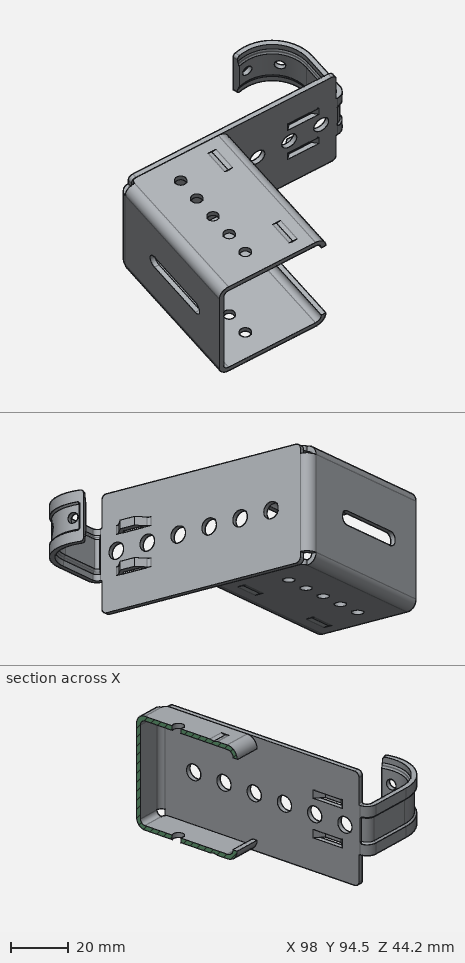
import cadquery as cq
import math


mid_arc = math.sqrt(0.5)

thickness = 2.0
bend_inner = 2.0
bend_outer = bend_inner + thickness
overall_x = 98.0
overall_y = 94.5
height = 44.2
half_height = height / 2
corner_radius = 2.0

plate_hole_diameter = 6.3
plate_hole_count = 6
plate_hole_first_y = 16.7
plate_hole_pitch = 13.4

bridge_center_y = 76.2
bridge_base_length = 13.4
bridge_top_length = 6.3
bridge_rise = 3.6
bridge_opening_base = 13.1
bridge_opening_top = 7.1
bridge_opening_rise = 1.1
bridge_width = 3.2
bridge_center_z = 7.6
bridge_root_fillet = 2.0

hook_width = 19.1
hook_radius = 17.1
hook_reach = 36.0
hook_tip_angle = 19.0
hook_tip_rounding = 1.2
neck_fillet = 0.5
hook_center_x = hook_radius - hook_reach
hook_center_y = overall_y - hook_radius
fold_center_x = thickness - bend_outer
fold_center_y = overall_y - bend_outer
plate_end_y = fold_center_y - neck_fillet
hook_hole_diameter = 4.0
hook_hole_angles = (45.0, -3.5)

emboss_depth = 0.8
channel_end_angle = 14.5
channel_half_mouth = 5.3
channel_rim_slope = 0.7
ridge_half_crest = 5.5
ridge_half_base = 7.3

arm_end_x = overall_x - hook_reach
arm_depth = 44.9
arm_gap = 0.1
flange_corner_radius = 1.8
lip_radius = 4.4
arm_hole_diameter = 4.3
arm_hole_count = 5
arm_hole_pitch = 10.0
arm_feature_center_x = 31.9
arm_hole_y = 17.8
slot_center_x = 34.6
slot_length = 30.6
slot_width = 5.3
groove_length = 10.3
groove_width = 3.3
groove_depth = 0.4
groove_spacing = 39.9
groove_y = 34.5


def on_hook_arc(radius, angle):
    """Point on a circle about the hook centre; the angle rises from the -X direction."""
    turn = math.radians(angle)
    return (hook_center_x - radius * math.cos(turn), hook_center_y + radius * math.sin(turn))


def hook_band(outer_offset, inner_offset, tip_angle):
    """Outline between two inward offsets of the hook's outer face, from the fold to the tip."""
    outer_fold = bend_outer - outer_offset
    inner_fold = bend_outer - inner_offset
    outer_arc = hook_radius - outer_offset
    inner_arc = hook_radius - inner_offset
    return (
        cq.Workplane("XY")
        .moveTo(fold_center_x + outer_fold, fold_center_y)
        .threePointArc(
            (fold_center_x + outer_fold * mid_arc, fold_center_y + outer_fold * mid_arc),
            (fold_center_x, fold_center_y + outer_fold),
        )
        .lineTo(hook_center_x, hook_center_y + outer_arc)
        .threePointArc(on_hook_arc(outer_arc, 45), on_hook_arc(outer_arc, -tip_angle))
        .lineTo(*on_hook_arc(inner_arc, -tip_angle))
        .threePointArc(on_hook_arc(inner_arc, 45), (hook_center_x, hook_center_y + inner_arc))
        .lineTo(fold_center_x, fold_center_y + inner_fold)
        .threePointArc(
            (fold_center_x + inner_fold * mid_arc, fold_center_y + inner_fold * mid_arc),
            (fold_center_x + inner_fold, fold_center_y),
        )
        .close()
    )


def make_channel():
    """Cutter for the pocket along the hook's outer face, with a sloped rim around its floor."""
    outline = hook_band(-thickness, emboss_depth, channel_end_angle)
    cutter = outline.extrude(channel_half_mouth, both=True)
    return cutter.faces("|Z or <Y").edges().chamfer(channel_rim_slope)


def make_ridge():
    """Raised rib along the hook's inner face; each flank is an S of two equal arcs."""
    inner_fold = bend_outer - thickness
    inner_arc = hook_radius - thickness
    path = (
        cq.Workplane("XY")
        .moveTo(fold_center_x + inner_fold, fold_center_y)
        .threePointArc(
            (fold_center_x + inner_fold * mid_arc, fold_center_y + inner_fold * mid_arc),
            (fold_center_x, fold_center_y + inner_fold),
        )
        .lineTo(hook_center_x, hook_center_y + inner_arc)
        .threePointArc(on_hook_arc(inner_arc, 45), on_hook_arc(inner_arc, -hook_tip_angle))
    )
    rise = emboss_depth / 2
    run = (ridge_half_base - ridge_half_crest) / 2
    flank_sagitta = math.hypot(rise, run) / 2 * math.tan(math.atan2(rise, run) / 2)
    flank_middle = (ridge_half_crest + ridge_half_base) / 2
    root = thickness / 4
    section = (
        cq.Workplane("XZ", origin=(0, fold_center_y, 0))
        .moveTo(root, -ridge_half_base)
        .lineTo(0, -ridge_half_base)
        .sagittaArc((-emboss_depth / 2, -flank_middle), flank_sagitta)
        .sagittaArc((-emboss_depth, -ridge_half_crest), -flank_sagitta)
        .lineTo(-emboss_depth, ridge_half_crest)
        .sagittaArc((-emboss_depth / 2, flank_middle), -flank_sagitta)
        .sagittaArc((0, ridge_half_base), flank_sagitta)
        .lineTo(root, ridge_half_base)
        .close()
    )
    return section.sweep(path)


def make_plate():
    """Flat plate with rounded corners, two pressed bridges and a row of holes."""
    length = plate_end_y - bend_outer
    plate = (
        cq.Workplane("XY")
        .box(thickness, length, height, centered=(False, False, True))
        .edges("|X")
        .fillet(corner_radius)
        .translate((0, bend_outer, 0))
    )
    for side in (1, -1):
        plate = plate.union(make_bridge_prism(
            bridge_base_length, bridge_top_length, 0, bridge_rise, side))
    reach = cq.Vector(thickness / 2, bridge_base_length, half_height)
    middle = cq.Vector(0, bridge_center_y, 0)
    near_roots = cq.selectors.BoxSelector((middle - reach).toTuple(), (middle + reach).toTuple())
    plate = plate.edges(near_roots).edges("|Z").fillet(bridge_root_fillet)
    for side in (1, -1):
        plate = plate.cut(make_bridge_prism(
            bridge_opening_base, bridge_opening_top, thickness, bridge_opening_rise, side))
    hole_centers = [
        (plate_hole_first_y + i * plate_hole_pitch, 0) for i in range(plate_hole_count)
    ]
    holes = (
        cq.Workplane("YZ")
        .pushPoints(hole_centers)
        .circle(plate_hole_diameter / 2)
        .extrude(thickness)
    )
    return plate.cut(holes)


def make_bridge_prism(base_length, top_length, base_x, rise, side):
    """Trapezoidal prism from the plane X = base_x out to X = -rise."""
    return (
        cq.Workplane("XY")
        .polyline([
            (base_x, bridge_center_y - base_length / 2),
            (base_x, bridge_center_y + base_length / 2),
            (-rise, bridge_center_y + top_length / 2),
            (-rise, bridge_center_y - top_length / 2),
        ])
        .close()
        .extrude(bridge_width / 2, both=True)
        .translate((0, 0, side * bridge_center_z))
    )


def make_neck():
    """Short strip joining the plate to the hook fold, flared where it meets the plate."""
    start_y = plate_end_y - corner_radius
    half_width = hook_width / 2
    flare = mid_arc * neck_fillet
    outline = (
        cq.Workplane("YZ")
        .moveTo(start_y, -half_width - neck_fillet)
        .lineTo(plate_end_y, -half_width - neck_fillet)
        .threePointArc(
            (plate_end_y + neck_fillet - flare, -half_width - neck_fillet + flare),
            (plate_end_y + neck_fillet, -half_width),
        )
        .lineTo(plate_end_y + neck_fillet, half_width)
        .threePointArc(
            (plate_end_y + neck_fillet - flare, half_width + neck_fillet - flare),
            (plate_end_y, half_width + neck_fillet),
        )
        .lineTo(start_y, half_width + neck_fillet)
        .close()
    )
    return outline.extrude(thickness)


def make_hook():
    """Folded and curled strip with its embossing and two radial holes."""
    hook = hook_band(0, thickness, hook_tip_angle).extrude(hook_width / 2, both=True)
    hook = hook.faces("<Y").edges("not(|Z)").fillet(hook_tip_rounding)
    hook = hook.union(make_ridge()).cut(make_channel())
    for angle in hook_hole_angles:
        hook = hook.cut(make_hook_drill(angle))
    return hook


def make_hook_drill(angle):
    """Radial cylinder through the hook arc."""
    inner_x, inner_y = on_hook_arc(hook_radius - 2 * thickness, angle)
    outer_x, outer_y = on_hook_arc(hook_radius + thickness, angle)
    drill = cq.Solid.makeCylinder(
        hook_hole_diameter / 2,
        3 * thickness,
        cq.Vector(inner_x, inner_y, 0),
        cq.Vector(outer_x - inner_x, outer_y - inner_y, 0),
    )
    return cq.Workplane(drill)


def bend_section(outer_radius):
    """Quarter ring in the first quadrant, centred on the origin."""
    inner_radius = outer_radius - thickness
    return (
        cq.Workplane("XY")
        .moveTo(outer_radius, 0)
        .threePointArc((outer_radius * mid_arc, outer_radius * mid_arc), (0, outer_radius))
        .lineTo(0, inner_radius)
        .threePointArc((inner_radius * mid_arc, inner_radius * mid_arc), (inner_radius, 0))
        .close()
    )


def make_corner_bend():
    """Upright bend between the plate and the arm's front wall."""
    return (
        bend_section(bend_outer)
        .extrude(half_height - bend_outer, both=True)
        .rotate((0, 0, 0), (0, 0, 1), 180)
        .translate((bend_outer, bend_outer, 0))
    )


def make_arm_half():
    """Upper half of the arm: half the front wall, its bend, the flange and the rear lip."""
    wall_length = arm_end_x - bend_outer
    front_wall = cq.Workplane("XY").box(
        wall_length, thickness, half_height - bend_outer, centered=False
    ).translate((bend_outer, 0, 0))
    along_x = bend_section(bend_outer).extrude(wall_length)
    along_x = along_x.rotate((0, 0, 0), (1, 1, 1), 120)
    front_bend = along_x.mirror("XZ").translate((bend_outer, bend_outer, half_height - bend_outer))
    flange_start_x = thickness + arm_gap
    flange_length = arm_end_x - flange_start_x
    flange = (
        cq.Workplane("XY")
        .box(flange_length, arm_depth - lip_radius - bend_outer, thickness, centered=False)
        .edges("|Z and <X and <Y")
        .fillet(flange_corner_radius)
        .translate((flange_start_x, bend_outer, half_height - thickness))
    )
    lip = bend_section(lip_radius).extrude(flange_length)
    lip = lip.rotate((0, 0, 0), (1, 1, 1), 120)
    lip = lip.translate((flange_start_x, arm_depth - lip_radius, half_height - lip_radius))
    half = front_wall.union(front_bend).union(flange).union(lip)
    for side in (-1, 1):
        half = half.cut(make_groove(arm_feature_center_x + side * groove_spacing / 2))
    return half


def make_groove(center_x):
    """V-shaped groove prism pressed into the flange's outer face."""
    return (
        cq.Workplane("YZ")
        .polyline([
            (groove_y - groove_width / 2, half_height),
            (groove_y + groove_width / 2, half_height),
            (groove_y, half_height - groove_depth),
        ])
        .close()
        .extrude(groove_length / 2, both=True)
        .translate((center_x, 0, 0))
    )


def make_arm():
    """Complete U-shaped arm with its front slot and the rows of flange holes."""
    upper = make_arm_half()
    arm = upper.union(upper.mirror("XY"))
    slot = (
        cq.Workplane("XZ")
        .center(slot_center_x, 0)
        .slot2D(slot_length, slot_width)
        .extrude(-thickness)
    )
    holes = (
        cq.Workplane("XY")
        .center(arm_feature_center_x, arm_hole_y)
        .rarray(arm_hole_pitch, 1, arm_hole_count, 1)
        .circle(arm_hole_diameter / 2)
        .extrude(half_height, both=True)
    )
    return arm.cut(slot).cut(holes)


result = (
    make_plate()
    .union(make_neck())
    .union(make_hook())
    .union(make_corner_bend())
    .union(make_arm())
)